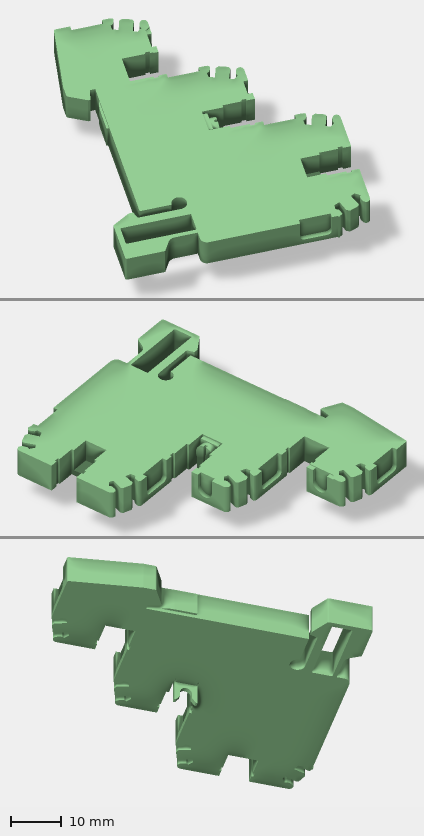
import cadquery as cq
import math

overall_length = 62.0
overall_height = 50.5
thickness = 6.2
mid_z = thickness / 2

tower_pitch = 17.0
tower_rise = 15.0
tower_width = 10.85
tower_count = 3
slot_width = tower_pitch - tower_width
nib_depth = 0.2
nib_height = 0.4
nib_drop = 7.3
right_x = overall_length - nib_depth

low_slot_depth = 7.45
slot_depth = 6.6
latch_top = 1.7
latch_height = 1.0
latch_depth = 0.4
well_depth = 10.9
well_ledge = 0.55

comb_points = [
    (0, 7.05), (0.05, 6.65), (0.3, 6.3), (1.0, 6.45), (1.6, 6.75), (1.85, 7.3), (2.9, 7.25), (3.4, 6.1),
    (1.05, 5.35), (0.75, 4.6), (1.4, 2.8), (1.9, 2.55), (4.4, 3.5), (4.85, 2.6), (4.1, 1.6), (3.6, 1.85),
    (2.8, 1.7), (2.3, 1.35), (2.05, 1.0), (2.1, 0.55),
]
comb_nose_middle = (2.4, 0.2)
comb_nose_end = (2.9, 0)

rail_y = 5.95
base_left_y = 2.2
clip_left_x = 14.95
clip_tip_x = 19.65
clip_tip_top_y = 4.3
clip_tip_bottom_y = 3.85
clip_bottom_x = 17.55
foot_corner_radius = 0.4
clip_notch = (17.2, 4.9)
rail_right_x = 50.4
relief_radius = 1.55
relief_y = 14.0
hook_root_y = 5.15
hook_tip_y = 4.65
hook_bend_y = 3.7
hook_bottom_x = 52.65
arm_right_x = 58.85
arm_top_y = 15.5
arm_curve_top_y = 10.9
arm_curve_middle = (59.0, 10.05)
arm_curve_end = (59.65, 9.35)
release_y = 8.05
body_corner_radius = 1.4

window_left_x = 53.75
window_width = 4.2
window_bottom_y = 1.1
window_radius = 0.3

marker_depth = 1.0
marker_height = 6.45
marker_drop = 8.55
marker_floor_z = 1.25
marker_radius = 1.0

pocket_width = 5.1
pocket_drop = 3.9
pocket_floor_z = 1.25

access_diameter = 3.4
access_x = 7.55
access_depth = 1.0
relief_left_x = 4.2
relief_slope = 0.75
relief_depth = 0.2

screw_x = 30.95
screw_z = 3.5
screw_head_diameter = 4.4
screw_head_height = 1.5
screw_slot_width = 0.6
screw_slot_depth = 0.6
block_width = 4.3
block_height = 1.0
block_inset = 0.3
fork_width = 4.7
fork_plate_thickness = 1.0
fork_reach = 4.4
fork_slot_width = 2.4
fork_slot_top_z = -1.1
fork_flare_z = -3.35
fork_tip_width = 0.4

pad_left_x = 19.95
pad_flat_x = 22.8
pad_right_x = 27.45
pad_height = 0.5
pad_curve_middle = (21.4, 5.6)
pad_bottom_z = 0.75
pad_top_z = 5.8


def tower_left(level):
    return level * tower_pitch


def tower_top(level):
    return overall_height - (tower_count - 1 - level) * tower_rise


def comb_point(point, side_x, top_y, inward):
    return (side_x + inward * point[0], top_y - point[1])


def add_left_comb(path, level):
    """Climb the left side of a tower through its comb to the top."""
    placing = (tower_left(level), tower_top(level), 1)
    for point in comb_points:
        path = path.lineTo(*comb_point(point, *placing))
    return path.threePointArc(comb_point(comb_nose_middle, *placing), comb_point(comb_nose_end, *placing))


def add_right_comb(path):
    """Descend from the top of the high tower through the mirrored comb."""
    placing = (right_x, overall_height, -1)
    path = path.lineTo(*comb_point(comb_nose_end, *placing))
    path = path.threePointArc(
        comb_point(comb_nose_middle, *placing), comb_point(comb_points[-1], *placing))
    for point in reversed(comb_points[:-1]):
        path = path.lineTo(*comb_point(point, *placing))
    return path


def add_foot(path):
    """Go round the spring arm, rail seat and fixed clip, from the right side to the lower left."""
    neck_x = rail_right_x + relief_radius
    diagonal = math.sqrt(0.5)
    corner_middle = body_corner_radius * (1 - diagonal)
    return (
        path.lineTo(right_x, arm_top_y + body_corner_radius)
        .threePointArc(
            (right_x - corner_middle, arm_top_y + corner_middle),
            (right_x - body_corner_radius, arm_top_y))
        .lineTo(arm_right_x, arm_top_y)
        .lineTo(arm_right_x, arm_curve_top_y)
        .threePointArc(arm_curve_middle, arm_curve_end)
        .lineTo(right_x, release_y)
        .lineTo(right_x, 0)
        .lineTo(hook_bottom_x, 0)
        .lineTo(rail_right_x, hook_bend_y)
        .lineTo(rail_right_x, hook_tip_y)
        .lineTo(neck_x, hook_root_y)
        .lineTo(neck_x, relief_y)
        .threePointArc(
            (rail_right_x - relief_radius * diagonal, relief_y + relief_radius * diagonal),
            (rail_right_x, relief_y - relief_radius))
        .lineTo(rail_right_x, rail_y)
        .lineTo(clip_notch[0], rail_y)
        .lineTo(*clip_notch)
        .lineTo(clip_tip_x, clip_tip_top_y)
        .lineTo(clip_tip_x, clip_tip_bottom_y)
        .lineTo(clip_bottom_x, 0)
        .lineTo(clip_left_x, 0)
    )


def make_body():
    path = cq.Workplane("XY").moveTo(0, base_left_y)
    floors = (tower_top(0) - low_slot_depth, tower_top(1) - slot_depth, tower_top(2) - slot_depth)
    for level in range(tower_count):
        slot_left = tower_left(level) + tower_width
        path = add_left_comb(path, level)
        path = path.lineTo(slot_left, tower_top(level))
        path = path.lineTo(slot_left, floors[level])
        path = path.lineTo(slot_left + slot_width, floors[level])
    path = path.lineTo(tower_left(tower_count), overall_height)
    path = add_foot(add_right_comb(path))
    return path.close().extrude(thickness)


def round_foot_corners(body):
    """Ease the upright edges along the underside of the foot."""
    corners = [(0, base_left_y), (clip_bottom_x, 0), (hook_bottom_x, 0), (right_x, 0)]
    for x, y in corners:
        edge = cq.selectors.NearestToPointSelector((x, y, mid_z))
        body = body.edges(edge).fillet(foot_corner_radius)
    return body


def block(x_min, x_max, y_min, y_max, z_min=0.0, z_max=thickness):
    return cq.Workplane("XY").box(
        x_max - x_min, y_max - y_min, z_max - z_min, centered=False).translate((x_min, y_min, z_min))


def cylinder_along_y(x, z, diameter, y_min, y_max):
    plane = cq.Plane(origin=(x, y_min, z), xDir=(1, 0, 0), normal=(0, 1, 0))
    return cq.Workplane(plane).circle(diameter / 2).extrude(y_max - y_min)


def latch_grooves(level):
    """Shallow grooves facing each other in both walls of a slot."""
    top_y = tower_top(level) - latch_top
    slot_left = tower_left(level) + tower_width
    return block(slot_left - latch_depth, slot_left + slot_width + latch_depth, top_y - latch_height, top_y)


def marker_recess(side_x, level):
    """Recess open towards the top face, with rounded lower corners."""
    top_y = tower_top(level) - marker_drop
    recess = block(
        side_x - marker_depth, side_x + marker_depth, top_y - marker_height, top_y, marker_floor_z)
    return recess.edges("|X and <Z").fillet(marker_radius)


def slot_pocket():
    """Pocket below the middle of the top slot."""
    centre_x = tower_left(tower_count - 1) + tower_width + slot_width / 2
    half = pocket_width / 2
    top_y = overall_height - slot_depth
    return block(centre_x - half, centre_x + half, top_y - pocket_drop, top_y, pocket_floor_z)


def screw_access(level):
    """Round-bottomed opening in the tower top, open towards the top face."""
    x = tower_left(level) + access_x
    top_y = tower_top(level)
    bore = cylinder_along_y(x, mid_z, access_diameter, top_y - access_depth, top_y)
    half = access_diameter / 2
    return bore.union(block(x - half, x + half, top_y - access_depth, top_y, mid_z))


def low_tower_relief():
    """Step with a sloped end across the top of the low tower, cut shallowly into the top face."""
    top_y = tower_top(0)
    outline = [
        (relief_left_x, top_y),
        (relief_left_x + relief_slope, top_y - access_depth),
        (tower_width, top_y - access_depth),
        (tower_width, top_y),
    ]
    return cq.Workplane("XY").workplane(offset=thickness).polyline(outline).close().extrude(-relief_depth)


def arm_window():
    window = block(window_left_x, window_left_x + window_width, window_bottom_y, arm_top_y)
    return window.edges("|Z and >X").fillet(window_radius)


def rail_pad():
    low_y = rail_y - pad_height
    return (
        cq.Workplane("XY").workplane(offset=pad_bottom_z)
        .moveTo(pad_left_x, rail_y)
        .threePointArc(pad_curve_middle, (pad_flat_x, low_y))
        .lineTo(pad_right_x, low_y)
        .lineTo(pad_right_x, rail_y)
        .close()
        .extrude(pad_top_z - pad_bottom_z)
    )


def jumper_fork(y_min):
    """Upright plate whose forked end reaches below the block."""
    half = fork_width / 2
    slot_half = fork_slot_width / 2
    tip_x = half - fork_tip_width
    plane = cq.Plane(origin=(screw_x, y_min, 0), xDir=(1, 0, 0), normal=(0, -1, 0))
    return (
        cq.Workplane(plane)
        .moveTo(-half, mid_z)
        .lineTo(-half, -fork_reach)
        .lineTo(-tip_x, -fork_reach)
        .lineTo(-slot_half, fork_flare_z)
        .lineTo(-slot_half, fork_slot_top_z - slot_half)
        .threePointArc((0, fork_slot_top_z), (slot_half, fork_slot_top_z - slot_half))
        .lineTo(slot_half, fork_flare_z)
        .lineTo(tip_x, -fork_reach)
        .lineTo(half, -fork_reach)
        .lineTo(half, mid_z)
        .close()
        .extrude(-fork_plate_thickness)
    )


def screw_head(y_min):
    top_y = y_min + screw_head_height
    half = screw_slot_width / 2
    head = cylinder_along_y(screw_x, screw_z, screw_head_diameter, y_min, top_y)
    return head.cut(block(screw_x - half, screw_x + half, top_y - screw_slot_depth, top_y))


body = round_foot_corners(make_body())

for slot_level in range(tower_count):
    body = body.cut(latch_grooves(slot_level))
    body = body.cut(marker_recess(tower_left(slot_level), slot_level))
body = body.cut(marker_recess(right_x, tower_count - 1))

for access_level in range(tower_count - 1):
    body = body.cut(screw_access(access_level))
body = body.cut(low_tower_relief())
body = body.cut(slot_pocket())
body = body.cut(arm_window())

well_left_x = tower_left(1) + tower_width + well_ledge
well_right_x = tower_left(2) - well_ledge
well_floor_y = tower_top(1) - well_depth
seat_y = well_floor_y + block_height
body = body.cut(block(well_left_x, well_right_x, well_floor_y, tower_top(1) - slot_depth))
body = body.union(block(
    screw_x - block_width / 2, screw_x + block_width / 2, well_floor_y, seat_y, 0, thickness - block_inset))
body = body.union(jumper_fork(seat_y))
body = body.union(screw_head(seat_y))

body = body.union(rail_pad())

nib_y = overall_height - nib_drop
body = body.union(block(right_x - nib_depth, overall_length, nib_y, nib_y + nib_height))

result = body